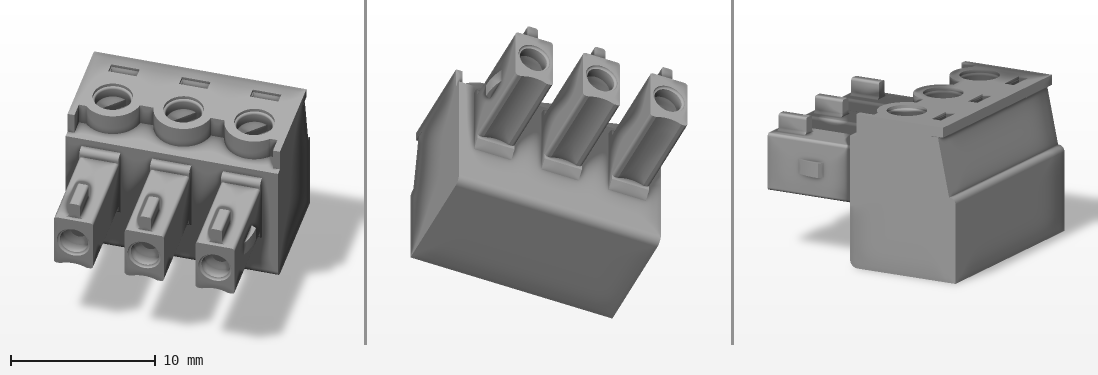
import cadquery as cq


body_width = 15.24
body_height = 11.1
body_depth = 8.4
half_width = body_width / 2
pole_count = 3
pitch = body_width / pole_count
pole_positions = [(i - (pole_count - 1) / 2) * pitch for i in range(pole_count)]
end_poles = [(pole_positions[0], -1), (pole_positions[-1], 1)]
bottom_edge_radius = 0.6

shoulder_height = 6.15
shoulder_radius = 0.4
slant_bottom_y = 7.9
slant_top_y = 7.0
lip_rear_y = 7.41
lip_underside = 10.39
lip_groove_height = 0.06
lip_groove_end_y = 6.47

ledge_height = 9.5
tab_front_y = 0.5
tab_width = 0.5
outer_recess_y = 1.65
middle_recess_y = 2.71
tower_radius = 2.09

screw_y = 3.09
screw_bore_radius = 1.4
screw_bore_depth = 0.23
screw_hole_radius = 1.25
screw_rim_radius = screw_bore_radius - screw_hole_radius
screw_edge_radius = 0.1
screw_head_depth = 0.98
screw_slot_width = 0.61
screw_slot_depth = 0.62
screw_slot_angle = 45

window_y = 6.0
window_length = 2.05
window_width = 0.76
window_depth = 0.2
window_ledge = 0.11
window_front_ledge = 0.06
window_floor_drop = 0.27

overall_depth = 15.6
plug_length = overall_depth - body_depth
plug_width = 2.81
plug_top = 8.35
plug_bottom = 4.25
plug_edge_radius = 0.22
plug_groove_radius = 2.34
plug_groove_depth = 0.2

collar_length = 0.58
collar_top = 8.86
collar_bottom = 3.45
collar_chamfer = 0.55
collar_edge_radius = 0.36

socket_height = 6.35
socket_radius = 1.01
socket_mouth_fillet = 0.17
socket_depth = 0.98
socket_floor_radius = 0.61
socket_cone_depth = socket_radius - socket_floor_radius

key_front_y = -6.91
key_rear_y = -4.7
key_width = 0.81
key_top = 9.56
key_top_radius = 0.19
key_root_radius = 0.22

latch_height = 0.37
latch_bottom = 5.8
latch_top = 6.85
latch_rear_y = -2.76
latch_crest_y = -2.96
latch_front_y = -4.75
latch_run = latch_crest_y - latch_front_y
latch_front_radius = (latch_run**2 + latch_height**2) / (2 * latch_height)


def box(x_range, y_range, z_range):
    """Axis-aligned block between the given limits."""
    size = [high - low for low, high in (x_range, y_range, z_range)]
    corner = (x_range[0], y_range[0], z_range[0])
    return cq.Workplane("XY").box(*size, centered=False).translate(corner)


def make_body():
    """Side outline of the body swept over its whole width."""
    slant_top = lip_underside - lip_groove_height
    return (
        cq.Workplane("YZ", origin=(-half_width, 0, 0))
        .moveTo(bottom_edge_radius, 0)
        .lineTo(body_depth, 0)
        .lineTo(body_depth, shoulder_height - shoulder_radius)
        .radiusArc((body_depth - shoulder_radius, shoulder_height), -shoulder_radius)
        .lineTo(slant_bottom_y, shoulder_height)
        .lineTo(slant_top_y, slant_top)
        .lineTo(lip_groove_end_y, slant_top)
        .lineTo(lip_groove_end_y, lip_underside)
        .lineTo(lip_rear_y, lip_underside)
        .lineTo(lip_rear_y, body_height)
        .lineTo(tab_front_y, body_height)
        .lineTo(tab_front_y, ledge_height)
        .lineTo(0, ledge_height)
        .lineTo(0, bottom_edge_radius)
        .radiusArc((bottom_edge_radius, 0), -bottom_edge_radius)
        .close()
        .extrude(body_width)
    )


def make_front_recess():
    """Space cut above the front ledge, leaving the end tabs and the screw towers."""
    z_range = (ledge_height, body_height)
    inner_limit = pole_positions[-1]
    outer_limit = half_width - tab_width
    recess = box((-outer_limit, outer_limit), (0, outer_recess_y), z_range)
    recess = recess.union(box((-inner_limit, inner_limit), (0, middle_recess_y), z_range))
    towers = (
        cq.Workplane("XY", origin=(0, 0, ledge_height))
        .pushPoints([(x, screw_y) for x in pole_positions])
        .circle(tower_radius)
        .extrude(body_height - ledge_height)
    )
    return recess.cut(towers)


def make_screw_cavity():
    """Stepped screw hole down to the round-edged screw head, plus the slot across the head."""
    rim_bottom = -(screw_bore_depth + screw_rim_radius)
    head_top = -screw_head_depth
    hole = (
        cq.Workplane("XZ")
        .lineTo(screw_bore_radius, 0)
        .lineTo(screw_bore_radius, -screw_bore_depth)
        .radiusArc((screw_hole_radius, rim_bottom), -screw_rim_radius)
        .lineTo(screw_hole_radius, head_top - screw_edge_radius)
        .radiusArc((screw_hole_radius - screw_edge_radius, head_top), -screw_edge_radius)
        .lineTo(0, head_top)
        .close()
        .revolve(360, (0, 0), (0, 1))
    )
    slot_blank = (
        cq.Workplane("XY", origin=(0, 0, head_top))
        .rect(2 * screw_hole_radius, screw_slot_width)
        .extrude(-screw_slot_depth)
        .rotate((0, 0, 0), (0, 0, 1), screw_slot_angle)
    )
    head = cq.Workplane("XY", origin=(0, 0, head_top)).circle(screw_hole_radius).extrude(-screw_slot_depth)
    return hole.union(slot_blank.intersect(head)).translate((0, screw_y, body_height))


def make_window():
    """Rectangular pocket with a narrow ledge about an inner pocket whose floor falls to the front."""
    half_length = window_length / 2
    front_y = window_y - window_width / 2
    rear_y = window_y + window_width / 2
    ledge_z = body_height - window_depth
    opening = box((-half_length, half_length), (front_y, rear_y), (ledge_z, body_height))
    inner_pocket = (
        cq.Workplane("YZ", origin=(window_ledge - half_length, 0, 0))
        .moveTo(rear_y - window_ledge, ledge_z)
        .lineTo(front_y + window_front_ledge, ledge_z)
        .lineTo(front_y + window_front_ledge, ledge_z - window_floor_drop)
        .close()
        .extrude(window_length - 2 * window_ledge)
    )
    return opening.union(inner_pocket)


def make_collar():
    """Thickened root of a plug, rounded on top and chamfered below."""
    return (
        cq.Workplane("YZ", origin=(-plug_width / 2, 0, 0))
        .moveTo(0, collar_bottom)
        .lineTo(0, collar_top)
        .lineTo(collar_edge_radius - collar_length, collar_top)
        .radiusArc((-collar_length, collar_top - collar_edge_radius), -collar_edge_radius)
        .lineTo(-collar_length, collar_bottom + collar_chamfer)
        .close()
        .extrude(plug_width)
    )


def make_socket():
    """Round wire socket: rounded mouth, straight bore and conical end."""
    mouth_radius = socket_radius + socket_mouth_fillet
    return (
        cq.Workplane("XY")
        .lineTo(mouth_radius, 0)
        .radiusArc((socket_radius, socket_mouth_fillet), -socket_mouth_fillet)
        .lineTo(socket_radius, socket_depth)
        .lineTo(socket_floor_radius, socket_depth + socket_cone_depth)
        .lineTo(0, socket_depth + socket_cone_depth)
        .close()
        .revolve(360, (0, 0), (0, 1))
        .translate((0, -plug_length, socket_height))
    )


def make_key():
    """Coding key with a rounded top and a flared root."""
    half_key = key_width / 2
    half_root = half_key + key_root_radius
    half_flat = half_key - key_top_radius
    root_top = plug_top + key_root_radius
    return (
        cq.Workplane("XZ", origin=(0, key_rear_y, 0))
        .moveTo(-half_root, plug_top)
        .radiusArc((-half_key, root_top), -key_root_radius)
        .lineTo(-half_key, key_top - key_top_radius)
        .radiusArc((-half_flat, key_top), key_top_radius)
        .lineTo(half_flat, key_top)
        .radiusArc((half_key, key_top - key_top_radius), key_top_radius)
        .lineTo(half_key, root_top)
        .radiusArc((half_root, plug_top), -key_root_radius)
        .close()
        .extrude(key_rear_y - key_front_y)
    )


def make_plug():
    """One plug on the pole axis, with its collar, key, socket and underside groove."""
    half_plug = plug_width / 2
    shank = box((-half_plug, half_plug), (-plug_length, 0), (plug_bottom, plug_top))
    shank = shank.edges("|Y").fillet(plug_edge_radius)
    groove = (
        cq.Workplane("XZ")
        .center(0, plug_bottom + plug_groove_depth - plug_groove_radius)
        .circle(plug_groove_radius)
        .extrude(plug_length)
    )
    return shank.cut(groove).union(make_collar()).union(make_key()).cut(make_socket())


def make_latch(side):
    """Latch bump for the plug face on the given side (+1 or -1): steep rear, curved front."""
    root_x = side * plug_width / 2
    crest_x = root_x + side * latch_height
    return (
        cq.Workplane("XY", origin=(0, 0, latch_bottom))
        .moveTo(root_x, latch_rear_y)
        .lineTo(crest_x, latch_crest_y)
        .radiusArc((root_x, latch_front_y), side * latch_front_radius)
        .close()
        .extrude(latch_top - latch_bottom)
    )


result = make_body().cut(make_front_recess())
for pole_x in pole_positions:
    result = result.cut(make_screw_cavity().translate((pole_x, 0, 0)))
    result = result.cut(make_window().translate((pole_x, 0, 0)))
    result = result.union(make_plug().translate((pole_x, 0, 0)))
for pole_x, side in end_poles:
    result = result.union(make_latch(side).translate((pole_x, 0, 0)))